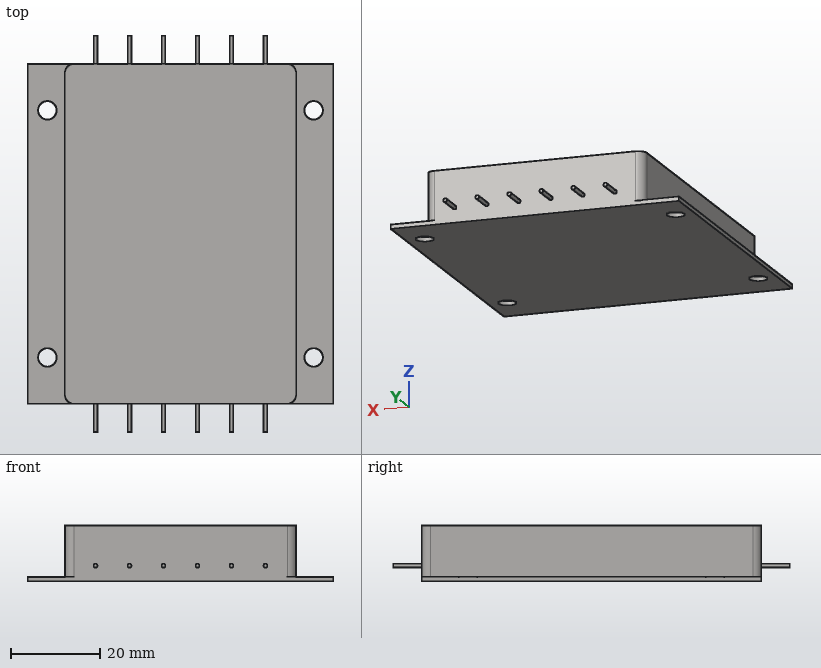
import cadquery as cq

plate_width = 68.58
plate_length = 76.2
plate_thickness = 1.02

housing_width = 51.82
overall_height = 12.57
housing_corner_radius = 2.0

hole_diameter = 4.1
hole_spacing_x = 59.7
hole_spacing_y = 55.4

pin_count = 6
pin_pitch = 7.62
pin_diameter = 0.89
pin_height = 3.53
overall_length = 88.9
pin_length = (overall_length - plate_length) / 2
pin_embed = 1.0


def make_plate():
    """Flat plate with its bottom at Z = 0 and four mounting holes."""
    plate = cq.Workplane("XY").box(
        plate_width, plate_length, plate_thickness, centered=(True, True, False)
    )
    return (
        plate.faces(">Z")
        .workplane()
        .rect(hole_spacing_x, hole_spacing_y, forConstruction=True)
        .vertices()
        .hole(hole_diameter)
    )


def make_housing():
    """Block with rounded vertical corners on top of the plate."""
    return (
        cq.Workplane("XY", origin=(0, 0, plate_thickness))
        .rect(housing_width, plate_length)
        .extrude(overall_height - plate_thickness)
        .edges("|Z")
        .fillet(housing_corner_radius)
    )


def make_pin_row(side):
    """Row of round pins leaving the +Y (side = 1) or -Y (side = -1) end."""
    start_y = side * (plate_length / 2 - pin_embed)
    return (
        cq.Workplane("XZ", origin=(0, start_y, pin_height))
        .rarray(pin_pitch, 1, pin_count, 1)
        .circle(pin_diameter / 2)
        .extrude(-side * (pin_length + pin_embed))
    )


result = make_plate().union(make_housing())
for end in (-1, 1):
    result = result.union(make_pin_row(end))